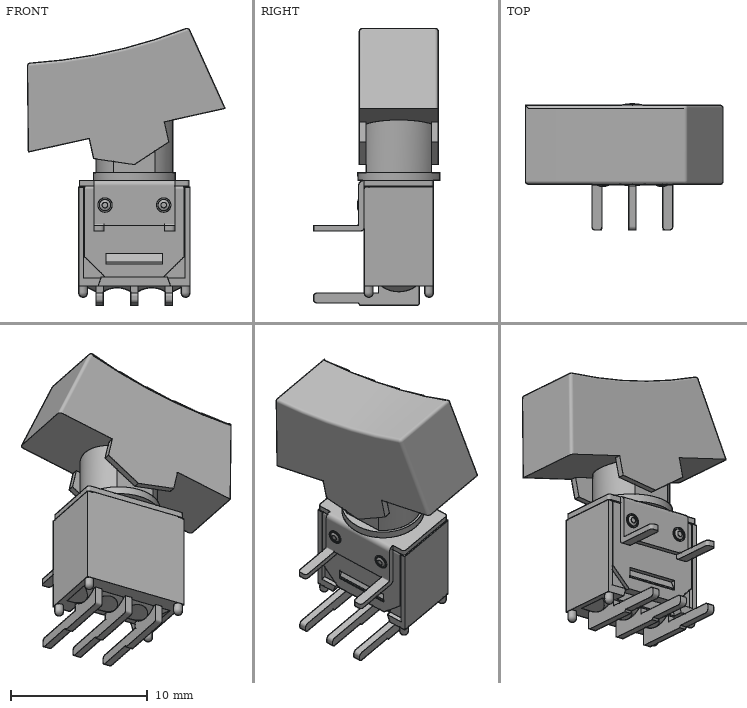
import cadquery as cq
import math


HOUSING_WIDTH = 8.13
HOUSING_DEPTH = 5.05
HOUSING_HEIGHT = 7.25
FRONT_Y = -HOUSING_DEPTH / 2
CORE_TOP = 7.3
CORE_HALF_WIDTH = 3.62
CORE_BOTTOM = 0.69
CORE_BOTTOM_HALF_WIDTH = 2.15
CORE_CORNER_Z = 2.15
CORE_EDGE_RADIUS = 0.25
RECESS_HALF_WIDTH = 3.7
RECESS_FLOOR = 0.6
RECESS_DEPTH = 0.35
NOTCH_BOTTOM_HALF_WIDTH = 2.65
NOTCH_TOP_HALF_WIDTH = 2.4
NOTCH_DEPTH = 0.8
WINDOW_WIDTH = 4.1
WINDOW_BOTTOM = 1.64
WINDOW_TOP = 2.39
LATCH_TIP_Z = 1.78
LATCH_TIP_DEPTH = 0.08
LATCH_ROOT_DEPTH = 0.4

FOOT_DIAMETER = 0.65
FOOT_RADIUS = FOOT_DIAMETER / 2
FOOT_STRAIGHT = 0.49

SEAL_HEIGHT = 0.4
SEAL_VALLEY = 0.12
SEAL_END_RUN = 0.8
SEAL_HALF_DEPTH = 1.25

TERMINAL_PITCH = 2.53
TERMINAL_THICKNESS = 0.55
TERMINAL_STEM_HALF = 1.5
TERMINAL_BOTTOM = -1.4
TERMINAL_STEP_Y = -2.85
TERMINAL_STEP_CHAMFER = 0.1
LEAD_TOP = -0.49
LEAD_BOTTOM = -1.23
LEAD_TIP_Y = -6.23
LEAD_TIP_RADIUS = 0.26
STEM_CORNER_RADIUS = 0.16

SHEET = 0.42
PLATE_WIDTH = 8.01
PLATE_TOP = CORE_TOP + SHEET
PLATE_CORNER_RADIUS = 0.2
BRACKET_HALF_WIDTH = 2.95
BRACKET_FRONT_Y = FRONT_Y - SHEET
BRACKET_BOTTOM = 4.45
LEG_WIDTH = 0.75
LEG_BOTTOM = BRACKET_BOTTOM - SHEET
LEG_TIP_RADIUS = 0.25
PLATE_BEND_RADIUS = 0.4
LEG_BEND_INNER_RADIUS = 0.08
LEG_BEND_OUTER_RADIUS = 0.26
RIVET_X = 2.15
RIVET_Z = 5.93
RIVET_RECESS_DIAMETER = 1.05
RIVET_DIAMETER = 0.83
RIVET_FACE_DIAMETER = 0.4
RIVET_RISE = 0.08
COLLAR_DIAMETER = 6.0
COLLAR_TOP = 8.3
POST_DIAMETER = 5.65
POST_ACROSS_FLATS = 4.77
POST_TOP = 12.55

ROCKER_TILT = 12.5
ROCKER_PIVOT_Z = 8.88
ROCKER_DEPTH = 5.79
ROCKER_EDGE_RADIUS = 0.25
ROCKER_BASE = 2.57
ROCKER_BASE_HALF_LENGTH = 7.36
ROCKER_TOP = 8.92
ROCKER_TOP_HALF_LENGTH = 6.03
ROCKER_TOP_SAG = 0.49
SKIRT_HALF_LENGTH = 2.81
SKIRT_CORNER = 1.07


def box(x0, x1, y0, y1, z0, z1):
    """Box between opposite limits along each axis."""
    return cq.Workplane("XY").box(x1 - x0, y1 - y0, z1 - z0, centered=False).translate((x0, y0, z0))


def front_profile(y=FRONT_Y):
    """XZ sketch plane at the given Y; positive extrusion runs toward -Y."""
    return cq.Workplane("XZ", origin=(0, y, 0))


def side_profile(x_start):
    """YZ sketch plane at the given X; positive extrusion runs toward +X."""
    return cq.Workplane("YZ", origin=(x_start, 0, 0))


def make_terminal(x):
    """Right-angle terminal: a wide stem with a lead running toward -Y."""
    terminal = (
        side_profile(x - TERMINAL_THICKNESS / 2)
        .moveTo(TERMINAL_STEM_HALF, 0)
        .lineTo(TERMINAL_STEM_HALF, TERMINAL_BOTTOM)
        .lineTo(TERMINAL_STEP_Y, TERMINAL_BOTTOM)
        .lineTo(TERMINAL_STEP_Y - TERMINAL_STEP_CHAMFER, LEAD_BOTTOM)
        .lineTo(LEAD_TIP_Y, LEAD_BOTTOM)
        .lineTo(LEAD_TIP_Y, LEAD_TOP)
        .lineTo(-TERMINAL_STEM_HALF, LEAD_TOP)
        .lineTo(-TERMINAL_STEM_HALF, 0)
        .close()
        .extrude(TERMINAL_THICKNESS)
    )
    terminal = terminal.faces("<Y").edges("|X").fillet(LEAD_TIP_RADIUS)
    return terminal.faces(">Y").edges("|X and <Z").fillet(STEM_CORNER_RADIUS)


def make_core():
    """Housing core whose front is a panel with cut lower corners and a rounded top edge."""
    core = (
        front_profile(-FRONT_Y)
        .polyline([
            (-CORE_HALF_WIDTH, CORE_TOP),
            (-CORE_HALF_WIDTH, CORE_CORNER_Z),
            (-CORE_BOTTOM_HALF_WIDTH, CORE_BOTTOM),
            (CORE_BOTTOM_HALF_WIDTH, CORE_BOTTOM),
            (CORE_HALF_WIDTH, CORE_CORNER_Z),
            (CORE_HALF_WIDTH, CORE_TOP),
        ])
        .close()
        .extrude(HOUSING_DEPTH)
    )
    return core.faces("<Y").edges(">Z").fillet(CORE_EDGE_RADIUS)


def make_notch():
    """Trapezoid opening in the lower front edge of the housing."""
    return (
        front_profile(FRONT_Y + NOTCH_DEPTH)
        .polyline([
            (-NOTCH_BOTTOM_HALF_WIDTH, 0),
            (-NOTCH_TOP_HALF_WIDTH, CORE_BOTTOM),
            (NOTCH_TOP_HALF_WIDTH, CORE_BOTTOM),
            (NOTCH_BOTTOM_HALF_WIDTH, 0),
        ])
        .close()
        .extrude(NOTCH_DEPTH)
    )


def make_latch_window():
    """Window in the front panel with a latch ramp that deepens toward its top."""
    return (
        side_profile(-WINDOW_WIDTH / 2)
        .polyline([
            (FRONT_Y, WINDOW_BOTTOM),
            (FRONT_Y + LATCH_TIP_DEPTH, WINDOW_BOTTOM),
            (FRONT_Y + LATCH_TIP_DEPTH, LATCH_TIP_Z),
            (FRONT_Y + LATCH_ROOT_DEPTH, WINDOW_TOP),
            (FRONT_Y, WINDOW_TOP),
        ])
        .close()
        .extrude(WINDOW_WIDTH)
    )


def make_feet():
    """Four round-ended standoff feet at the corners of the housing."""
    foot_x = HOUSING_WIDTH / 2 - FOOT_RADIUS
    foot_y = HOUSING_DEPTH / 2 - FOOT_RADIUS
    centers = [(x, y) for x in (-foot_x, foot_x) for y in (-foot_y, foot_y)]
    feet = cq.Workplane("XY").pushPoints(centers).circle(FOOT_RADIUS).extrude(-FOOT_STRAIGHT)
    for x, y in centers:
        feet = feet.union(cq.Workplane("XY").sphere(FOOT_RADIUS).translate((x, y, -FOOT_STRAIGHT)))
    return feet


def make_seal():
    """Ridge of sealing compound, domed across Y and scalloped between the terminals."""
    half_thickness = TERMINAL_THICKNESS / 2
    end_x = TERMINAL_PITCH + half_thickness
    scalloped = (
        front_profile(SEAL_HALF_DEPTH)
        .moveTo(-end_x - SEAL_END_RUN, 0)
        .lineTo(-end_x, -SEAL_HEIGHT)
    )
    for left, right in ((-TERMINAL_PITCH, 0), (0, TERMINAL_PITCH)):
        scalloped = (
            scalloped
            .lineTo(left + half_thickness, -SEAL_HEIGHT)
            .threePointArc(((left + right) / 2, -SEAL_VALLEY), (right - half_thickness, -SEAL_HEIGHT))
        )
    scalloped = (
        scalloped
        .lineTo(end_x, -SEAL_HEIGHT)
        .lineTo(end_x + SEAL_END_RUN, 0)
        .close()
        .extrude(2 * SEAL_HALF_DEPTH)
    )
    dome = (
        side_profile(-HOUSING_WIDTH / 2)
        .moveTo(-SEAL_HALF_DEPTH, 0)
        .threePointArc((0, -SEAL_HEIGHT), (SEAL_HALF_DEPTH, 0))
        .close()
        .extrude(HOUSING_WIDTH)
    )
    return scalloped.intersect(dome)


def make_housing(terminals):
    """Housing with its front panel, latch window, feet and terminal seal."""
    half_width = HOUSING_WIDTH / 2
    housing = box(-half_width, half_width, FRONT_Y, -FRONT_Y, 0, HOUSING_HEIGHT)
    recess = box(
        -RECESS_HALF_WIDTH, RECESS_HALF_WIDTH,
        FRONT_Y, FRONT_Y + RECESS_DEPTH,
        RECESS_FLOOR, HOUSING_HEIGHT,
    )
    housing = housing.cut(recess).union(make_core())
    housing = housing.cut(make_notch()).cut(make_latch_window())
    housing = housing.union(make_feet()).union(make_seal())
    for terminal in terminals:
        housing = housing.cut(terminal)
    return housing


def make_bracket():
    """Sheet folded down over the housing front, ending in two legs bent toward -Y."""
    bracket = box(
        -BRACKET_HALF_WIDTH, BRACKET_HALF_WIDTH,
        BRACKET_FRONT_Y, FRONT_Y,
        BRACKET_BOTTOM, PLATE_TOP,
    )
    bracket = bracket.faces("<Y").edges(">Z").fillet(PLATE_BEND_RADIUS)
    for x0 in (-BRACKET_HALF_WIDTH, BRACKET_HALF_WIDTH - LEG_WIDTH):
        x1 = x0 + LEG_WIDTH
        leg = box(x0, x1, LEAD_TIP_Y, FRONT_Y, LEG_BOTTOM, BRACKET_BOTTOM)
        leg = leg.faces("<Y").edges("|Z").fillet(LEG_TIP_RADIUS)
        leg = leg.faces(">Y").edges("<Z").fillet(LEG_BEND_OUTER_RADIUS)
        bend_y = BRACKET_FRONT_Y - LEG_BEND_INNER_RADIUS
        bend_z = BRACKET_BOTTOM + LEG_BEND_INNER_RADIUS
        web = box(x0, x1, bend_y, BRACKET_FRONT_Y, BRACKET_BOTTOM, bend_z)
        hollow = side_profile(x0).center(bend_y, bend_z).circle(LEG_BEND_INNER_RADIUS).extrude(LEG_WIDTH)
        web = web.cut(hollow)
        bracket = bracket.union(leg).union(web)
    return bracket


def add_rivets(bracket):
    """Two rivet heads, each a cone rising from a shallow round recess."""
    centers = [(-RIVET_X, RIVET_Z), (RIVET_X, RIVET_Z)]
    floor_y = BRACKET_FRONT_Y + RIVET_RISE
    recesses = (
        front_profile(floor_y).pushPoints(centers).circle(RIVET_RECESS_DIAMETER / 2).extrude(RIVET_RISE)
    )
    bracket = bracket.cut(recesses)
    head_taper = math.degrees(math.atan((RIVET_DIAMETER - RIVET_FACE_DIAMETER) / (2 * RIVET_RISE)))
    for center in centers:
        shank = front_profile(floor_y).moveTo(*center).circle(RIVET_DIAMETER / 2).extrude(RIVET_RISE)
        head = (
            front_profile(BRACKET_FRONT_Y)
            .moveTo(*center)
            .circle(RIVET_DIAMETER / 2)
            .extrude(RIVET_RISE, taper=head_taper)
        )
        bracket = bracket.union(shank).union(head)
    return bracket


def make_post(height_from, height_to):
    """Round post with two flats facing -Y and +Y."""
    post = cq.Workplane("XY", origin=(0, 0, height_from)).circle(POST_DIAMETER / 2)
    post = post.extrude(height_to - height_from)
    half_flats = POST_ACROSS_FLATS / 2
    radius = POST_DIAMETER / 2
    return post.intersect(box(-radius, radius, -half_flats, half_flats, height_from, height_to))


def make_frame():
    """Top plate with its front bracket, collar and rocker post."""
    half_width = PLATE_WIDTH / 2
    plate = box(-half_width, half_width, FRONT_Y, -FRONT_Y, CORE_TOP, PLATE_TOP)
    plate = plate.edges("|Z").fillet(PLATE_CORNER_RADIUS)
    collar = cq.Workplane("XY", origin=(0, 0, PLATE_TOP)).circle(COLLAR_DIAMETER / 2)
    collar = collar.extrude(COLLAR_TOP - PLATE_TOP)
    bracket = add_rivets(make_bracket())
    return plate.union(bracket).union(collar).union(make_post(COLLAR_TOP, POST_TOP))


def make_rocker():
    """Tilted rocker with a concave top, a skirt on each side and a socket for the post."""
    back_y = ROCKER_DEPTH / 2
    cap = (
        front_profile(back_y)
        .moveTo(-ROCKER_BASE_HALF_LENGTH, ROCKER_BASE)
        .lineTo(ROCKER_BASE_HALF_LENGTH, ROCKER_BASE)
        .lineTo(ROCKER_TOP_HALF_LENGTH, ROCKER_TOP)
        .threePointArc((0, ROCKER_TOP - ROCKER_TOP_SAG), (-ROCKER_TOP_HALF_LENGTH, ROCKER_TOP))
        .close()
        .extrude(ROCKER_DEPTH)
    )
    above_base = cq.selectors.BoxSelector(
        (-ROCKER_BASE_HALF_LENGTH, -ROCKER_DEPTH, ROCKER_BASE + ROCKER_EDGE_RADIUS),
        (ROCKER_BASE_HALF_LENGTH, ROCKER_DEPTH, ROCKER_TOP + ROCKER_EDGE_RADIUS),
    )
    sharp_edge = cq.selectors.NearestToPointSelector((
        -(ROCKER_BASE_HALF_LENGTH + ROCKER_TOP_HALF_LENGTH) / 2,
        back_y,
        (ROCKER_BASE + ROCKER_TOP) / 2,
    ))
    cap = cap.edges(above_base - sharp_edge).fillet(ROCKER_EDGE_RADIUS)
    skirts = (
        front_profile(back_y)
        .polyline([
            (-SKIRT_HALF_LENGTH, ROCKER_BASE),
            (-SKIRT_HALF_LENGTH, SKIRT_CORNER),
            (0, 0),
            (SKIRT_HALF_LENGTH, SKIRT_CORNER),
            (SKIRT_HALF_LENGTH, ROCKER_BASE),
        ])
        .close()
        .extrude(ROCKER_DEPTH)
    )
    half_flats = POST_ACROSS_FLATS / 2
    skirts = skirts.cut(
        box(-SKIRT_HALF_LENGTH, SKIRT_HALF_LENGTH, -half_flats, half_flats, 0, ROCKER_BASE)
    )
    rocker = cap.union(skirts)
    rocker = rocker.rotate((0, 0, 0), (0, 1, 0), -ROCKER_TILT).translate((0, 0, ROCKER_PIVOT_Z))
    return rocker.cut(make_post(COLLAR_TOP, POST_TOP))


terminals = [make_terminal(i * TERMINAL_PITCH) for i in (-1, 0, 1)]
housing = make_housing(terminals)
frame = make_frame()
rocker = make_rocker()

result = cq.Compound.makeCompound([
    rocker.val(),
    frame.val(),
    housing.val(),
    *[terminal.val() for terminal in terminals],
])